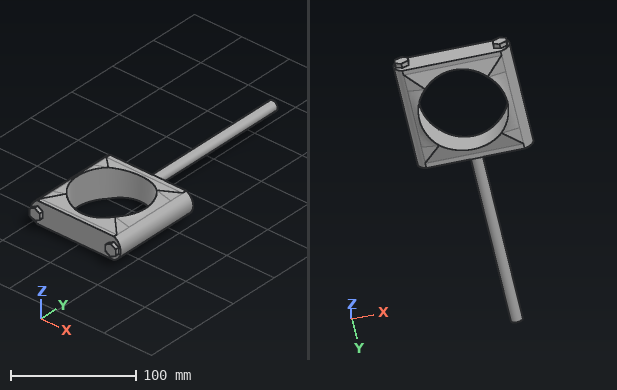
import cadquery as cq
import math

total_length = 245.0
total_width = 95.0
total_height = 30.0

body_height = 22.5
body_front = -43.8
body_back = 44.8
bore_radius = 36.0
bolt_offset = 40.2

head_thickness = 4.0
head_across_flats = 10.8
head_sides = 6

rod_diameter = 10.0

half_pad = bolt_offset
half_body = body_height / 2
pad_rise = total_height / 2 - half_body
half_crest = bore_radius * math.sqrt(0.5)
rod_end = total_length + body_front - head_thickness


def make_body():
    """Flat bar with arc-shaped sides, extruded along Y."""
    half_width = total_width / 2
    return (
        cq.Workplane("XZ", origin=(0, body_back, 0))
        .moveTo(-bolt_offset, half_body)
        .lineTo(bolt_offset, half_body)
        .threePointArc((half_width, 0), (bolt_offset, -half_body))
        .lineTo(-bolt_offset, -half_body)
        .threePointArc((-half_width, 0), (-bolt_offset, half_body))
        .close()
        .extrude(body_back - body_front)
    )


def make_side_blend():
    """Raised +X side: straight outer edge rising to an arc on the bore rim."""
    return (
        cq.Workplane("XY", origin=(0, 0, half_body))
        .moveTo(0, -half_crest)
        .lineTo(half_pad, -half_crest)
        .lineTo(half_pad, half_crest)
        .lineTo(0, half_crest)
        .close()
        .workplane(offset=pad_rise)
        .moveTo(0, -half_crest)
        .lineTo(half_crest, -half_crest)
        .threePointArc((bore_radius, 0), (half_crest, half_crest))
        .lineTo(0, half_crest)
        .close()
        .loft(ruled=True)
    )


def make_pad():
    """Raised top pad: a square frustum widened by a blend on each X side."""
    frustum = (
        cq.Workplane("XY", origin=(0, 0, half_body))
        .rect(2 * half_pad, 2 * half_pad)
        .workplane(offset=pad_rise)
        .rect(2 * half_crest, 2 * half_crest)
        .loft(ruled=True)
    )
    blend = make_side_blend()
    return frustum.union(blend).union(blend.mirror("YZ"))


def make_bolt_heads():
    """Two hexagons with corners pointing along Z."""
    corner_radius = head_across_flats / 2 / math.cos(math.pi / head_sides)
    corner_angles = [math.radians(90 + 360 * i / head_sides) for i in range(head_sides)]
    corners = [(corner_radius * math.cos(a), corner_radius * math.sin(a)) for a in corner_angles]
    head = cq.Workplane("XZ", origin=(0, body_front, 0)).polyline(corners).close().extrude(head_thickness)
    return head.translate((-bolt_offset, 0, 0)).union(head.translate((bolt_offset, 0, 0)))


def make_rod():
    return (
        cq.Workplane("XZ", origin=(0, rod_end, 0))
        .circle(rod_diameter / 2)
        .extrude(rod_end - body_back)
    )


pad = make_pad()
bore = cq.Workplane("XY", origin=(0, 0, -total_height)).circle(bore_radius).extrude(2 * total_height)

result = make_body().union(pad).union(pad.mirror("XY")).cut(bore)
result = result.union(make_bolt_heads()).union(make_rod())